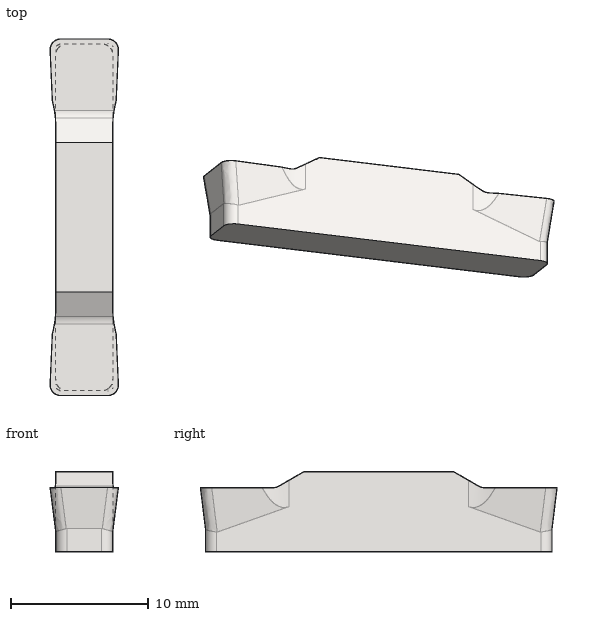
import cadquery as cq
import math

length = 26.0
height = 5.85
body_width = 4.15
head_width = 5.0
ledge_height = 4.68
corner_radius = 0.8
body_end_setback = 0.36

ramp_top_distance = 7.55
ramp_angle = 30.0
ramp_fillet = 1.05

clearance_angle = 7.0
back_taper_angle = 2.5
head_length = 6.45
head_base = 1.3
blend_radius = 7.55

half_length = length / 2
clearance_slope = math.tan(math.radians(clearance_angle))
taper_slope = math.tan(math.radians(back_taper_angle))
sharp_half_width = head_width / 2 + corner_radius * taper_slope


def make_side_profile():
    """Full-width prism with a raised middle and a ramp down to each ledge."""
    ramp_run = (height - ledge_height) / math.tan(math.radians(ramp_angle))
    ramp_top = half_length - ramp_top_distance
    ramp_foot = ramp_top + ramp_run
    prism = (
        cq.Workplane("YZ")
        .polyline([
            (-half_length, 0),
            (half_length, 0),
            (half_length, ledge_height),
            (ramp_foot, ledge_height),
            (ramp_top, height),
            (-ramp_top, height),
            (-ramp_foot, ledge_height),
            (-half_length, ledge_height),
        ])
        .close()
        .extrude(head_width, both=True)
    )
    margin = 0.25
    foot_edges = cq.selectors.BoxSelector(
        (-head_width, -ramp_foot - margin, ledge_height - margin),
        (head_width, ramp_foot + margin, ledge_height + margin),
    )
    return prism.edges("|X").edges(foot_edges).fillet(ramp_fillet)


def make_body():
    body_length = length - 2 * body_end_setback
    return (
        cq.Workplane("XY")
        .rect(body_width, body_length)
        .extrude(height)
        .edges("|Z")
        .fillet(corner_radius)
    )


def head_section(z):
    """Corners of the -Y head at height z, before rounding."""
    inset = clearance_slope * (ledge_height - z)
    front = -half_length + inset
    back = -half_length + head_length
    front_half = sharp_half_width - inset - taper_slope * inset
    back_half = sharp_half_width - inset - taper_slope * head_length
    return [(-front_half, front), (front_half, front), (back_half, back), (-back_half, back)]


def make_head():
    """Drafted, back-tapered head at the -Y end, blended into the body sides."""
    head = (
        cq.Workplane("XY", origin=(0, 0, head_base))
        .polyline(head_section(head_base))
        .close()
        .workplane(offset=height - head_base)
        .polyline(head_section(height))
        .close()
        .loft(ruled=True)
    )
    front_corners = head.faces("<Y").edges("not |X")
    head = front_corners.fillet(corner_radius)
    blend_center = body_width / 2 + blend_radius
    blends = (
        cq.Workplane("XY")
        .pushPoints([(side * blend_center, -half_length + head_length) for side in (-1, 1)])
        .circle(blend_radius)
        .extrude(height)
    )
    return head.cut(blends)


front_head = make_head()
rear_head = front_head.mirror("XZ")
result = make_body().union(front_head).union(rear_head).intersect(make_side_profile())